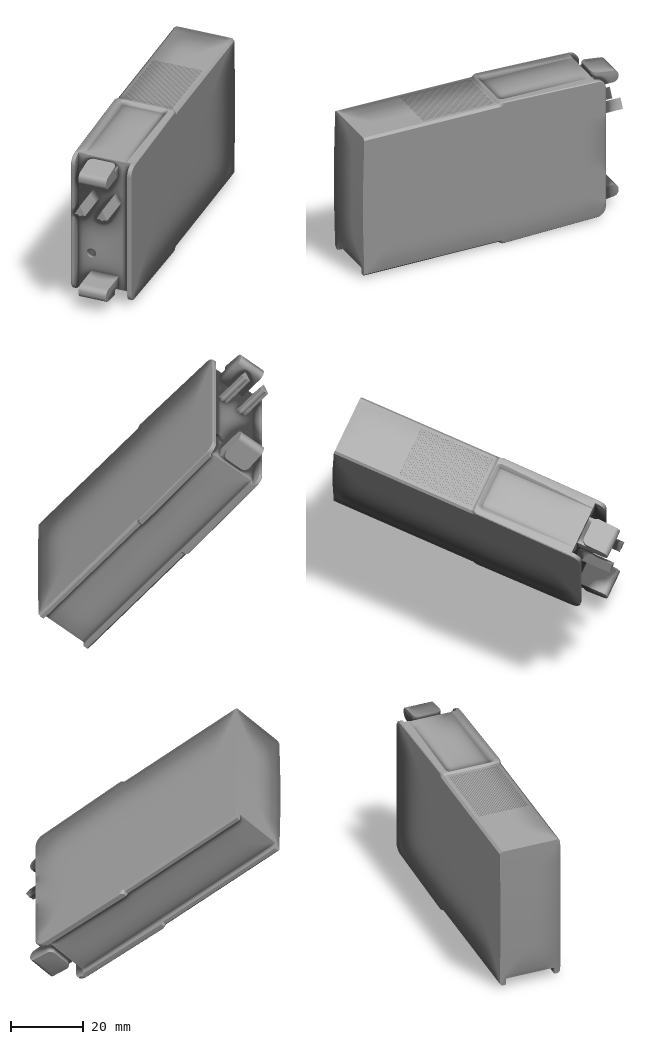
import cadquery as cq
import math

width = 18.0
overall_length = 82.1
prong_reach = 7.2
length = overall_length - prong_reach
half_height = 22.5
rear_half_height = 21.9
front_half_height = 21.6
rear_bow = 0.4
shoulder_y = 32.3
step_run = 0.6
front_corner_radius = 2.8
rear_chamfer = 0.65
front_chamfer = 0.25

panel_y = 2.95
front_hollow_half_width = 7.8
channel_half_width = 7.2
channel_depth = 2.6
channel_top = channel_depth - half_height

recess_floor_z = 21.5
recess_floor_half_width = 6.1
recess_floor_rear_y = 31.0
recess_taper = 50.0
recess_corner_radius = 0.3

grip_width = 14.8
grip_front_y = 33.8
grip_rear_y = 55.5
groove_pitch = 0.6
groove_width = groove_pitch / 2
groove_depth = 0.2
groove_angle = 45.0

latch_middle_z = 0.65
latch_width = 8.2
latch_inner_z = 17.0
latch_nose_y = -6.25
latch_nose_radius = 1.65
latch_slope_end_y = -3.95
latch_slope_end_z = 20.8
latch_slope = 0.13
latch_catch_y = 1.65
latch_notch_depth = 1.65
latch_catch_radius = 1.65

prong_spacing = 6.6
prong_half_width = 1.6
prong_base_z = 8.2
prong_tip_z = 11.1
prong_keel_half_width = 0.65
prong_keel_depth = 0.3

hole_x = -4.0
hole_z = -9.9
hole_radius = 1.4
hole_depth = 1.0

overlap = 0.8


def block(x0, x1, y0, y1, z0, z1):
    """Box between opposite corners."""
    return cq.Workplane("XY").box(x1 - x0, y1 - y0, z1 - z0, centered=False).translate((x0, y0, z0))


def extrude_across(profile, thickness):
    """Extrude a profile drawn on the YZ plane equally to both sides of X = 0."""
    return profile.extrude(thickness / 2, both=True)


def housing():
    """Solid housing with chamfered side outlines."""
    step_y = shoulder_y + step_run
    rear_y = length - rear_bow
    profile = (
        cq.Workplane("YZ")
        .moveTo(0, -front_half_height)
        .lineTo(shoulder_y, -half_height)
        .lineTo(step_y, -rear_half_height)
        .lineTo(rear_y, -rear_half_height)
        .threePointArc((length, 0), (rear_y, rear_half_height))
        .lineTo(step_y, rear_half_height)
        .lineTo(shoulder_y, half_height)
        .lineTo(0, front_half_height)
        .close()
    )
    body = extrude_across(profile, width)
    body = body.edges("|X").edges("<Y").fillet(front_corner_radius)

    rear_edges = cq.selectors.BoxSelector(
        (-width, shoulder_y, -half_height - overlap),
        (width, length - overlap, half_height + overlap),
    )
    front_edges = cq.selectors.BoxSelector(
        (-width, -overlap, -half_height - overlap),
        (width, shoulder_y, half_height + overlap),
    )
    body = body.faces("<X or >X").edges(rear_edges).chamfer(rear_chamfer)
    return body.faces("<X or >X").edges(front_edges).chamfer(front_chamfer)


def front_hollow():
    """Space between the side walls in front of the panel."""
    w = front_hollow_half_width
    h = half_height + overlap
    return block(-w, w, -overlap, panel_y, -h, h)


def bottom_channel():
    """Channel along the whole underside."""
    w = channel_half_width
    return block(-w, w, -overlap, length + overlap, -half_height - overlap, channel_top)


def label_recess():
    """Flat-floored recess with sloping walls that runs out through the front."""
    floor = (
        cq.Sketch()
        .rect(2 * recess_floor_half_width, 2 * recess_floor_rear_y)
        .vertices()
        .fillet(recess_corner_radius)
    )
    plane = cq.Workplane("XY", origin=(0, 0, recess_floor_z))
    return plane.placeSketch(floor).extrude(half_height - recess_floor_z + overlap, taper=-recess_taper)


def grip_grooves():
    """Parallel diagonal grooves clipped to a rectangle."""
    grip_length = grip_rear_y - grip_front_y
    middle_y = (grip_front_y + grip_rear_y) / 2
    diagonal = math.hypot(grip_width, grip_length)
    count = math.ceil(diagonal / groove_pitch)
    grooves = (
        cq.Workplane("XY")
        .rarray(0.8, groove_pitch, 1, count)
        .rect(diagonal, groove_width)
        .extrude(groove_depth + overlap)
        .rotate((0, 0, 0), (0, 0, 1), groove_angle)
    )
    outline = cq.Workplane("XY").rect(grip_width, grip_length).extrude(groove_depth + overlap)
    return outline.intersect(grooves).translate((0, middle_y, rear_half_height - groove_depth))


def upper_latch():
    """Latch with a round nose, a sloping outer face and a notch behind the catch."""
    root_y = panel_y + overlap
    root_z = latch_slope_end_z + latch_slope * (root_y - latch_slope_end_y)
    nose_z = latch_slope_end_z + latch_slope * (latch_nose_y - latch_slope_end_y)
    profile = (
        cq.Workplane("YZ")
        .moveTo(root_y, latch_inner_z)
        .lineTo(latch_nose_y, latch_inner_z)
        .lineTo(latch_nose_y, nose_z)
        .lineTo(root_y, root_z)
        .close()
    )
    latch = extrude_across(profile, latch_width)
    latch = latch.edges("|X").edges("<Y").fillet(latch_nose_radius)

    catch_z = latch_slope_end_z + latch_slope * (latch_catch_y - latch_slope_end_y)
    w = latch_width / 2
    notch_z = catch_z - latch_notch_depth
    catch = block(-w, w, latch_slope_end_y, latch_catch_y, notch_z, root_z + overlap)
    catch = catch.edges("|Z").edges(">Y").fillet(latch_catch_radius)
    notch_front_y = latch_catch_y - latch_catch_radius
    notch = block(-w, w, notch_front_y, root_y, notch_z, root_z + overlap).cut(catch)
    return latch.cut(notch)


def prong(x):
    """Triangular contact prong with a shallow rounded keel under its base."""
    profile = (
        cq.Workplane("XZ", origin=(x, -prong_reach, 0))
        .moveTo(-prong_half_width, prong_base_z)
        .lineTo(-prong_keel_half_width, prong_base_z)
        .threePointArc((0, prong_base_z - prong_keel_depth), (prong_keel_half_width, prong_base_z))
        .lineTo(prong_half_width, prong_base_z)
        .lineTo(0, prong_tip_z)
        .close()
    )
    return profile.extrude(-(prong_reach + panel_y + overlap))


def panel_hole():
    """Cutter for the blind hole."""
    plane = cq.Workplane("XZ", origin=(hole_x, panel_y, hole_z))
    return plane.circle(hole_radius).extrude(-hole_depth)


latch = upper_latch()
result = (
    housing()
    .cut(label_recess())
    .cut(front_hollow())
    .cut(bottom_channel())
    .cut(grip_grooves())
    .cut(panel_hole())
    .union(latch)
    .union(latch.mirror("XY", (0, 0, latch_middle_z)))
)
for x in (-prong_spacing / 2, prong_spacing / 2):
    result = result.union(prong(x))